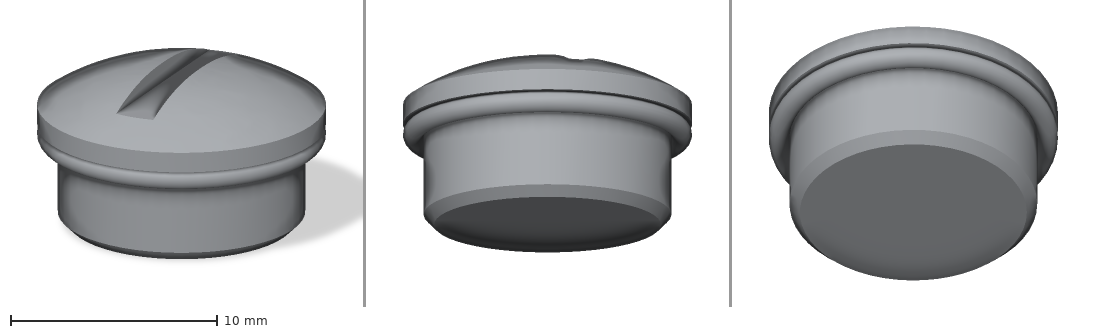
import cadquery as cq
import math

head_diameter = 14.0
shank_diameter = 12.0
shank_height = 5.0
rim_height = 1.01
dome_height = 2.0
crown_radius = 0.5
end_chamfer = 0.5
slot_width = 2.0
slot_floor_above_rim = 1.0

head_radius = head_diameter / 2
shank_radius = shank_diameter / 2
rim_top = shank_height + rim_height
dome_reach = head_radius - crown_radius
dome_arc_radius = (dome_reach**2 + dome_height**2) / (2 * dome_height)
dome_top = rim_top + dome_height

ring_section_radius = (head_radius - shank_radius) / 2
ring_center_radius = head_radius - ring_section_radius
ring_center_z = shank_height - ring_section_radius


def make_plug_blank():
    """Revolve the chamfered shank, the cylindrical rim and the arched dome."""
    half_angle = math.asin(dome_reach / dome_arc_radius) / 2
    dome_center_z = dome_top - dome_arc_radius
    dome_middle = (
        crown_radius + dome_arc_radius * math.sin(half_angle),
        dome_center_z + dome_arc_radius * math.cos(half_angle),
    )
    return (
        cq.Workplane("XZ")
        .lineTo(shank_radius - end_chamfer, 0)
        .lineTo(shank_radius, end_chamfer)
        .lineTo(shank_radius, shank_height)
        .lineTo(head_radius, shank_height)
        .lineTo(head_radius, rim_top)
        .threePointArc(dome_middle, (crown_radius, dome_top))
        .lineTo(0, dome_top)
        .close()
        .revolve(360, (0, 0, 0), (0, 1, 0))
    )


def make_driver_slot():
    """Straight screwdriver slot along Y, running out through the dome."""
    slot_depth = dome_height - slot_floor_above_rim
    return (
        cq.Workplane("XY")
        .workplane(offset=rim_top + slot_floor_above_rim)
        .rect(slot_width, head_diameter)
        .extrude(slot_depth)
    )


def make_sealing_ring():
    """Round-section ring seated on the shank, directly under the head."""
    return (
        cq.Workplane("XZ")
        .center(ring_center_radius, ring_center_z)
        .circle(ring_section_radius)
        .revolve(360, (-ring_center_radius, 0, 0), (-ring_center_radius, 1, 0))
    )


plug = make_plug_blank().cut(make_driver_slot())
sealing_ring = make_sealing_ring()

result = cq.Compound.makeCompound([plug.val(), sealing_ring.val()])